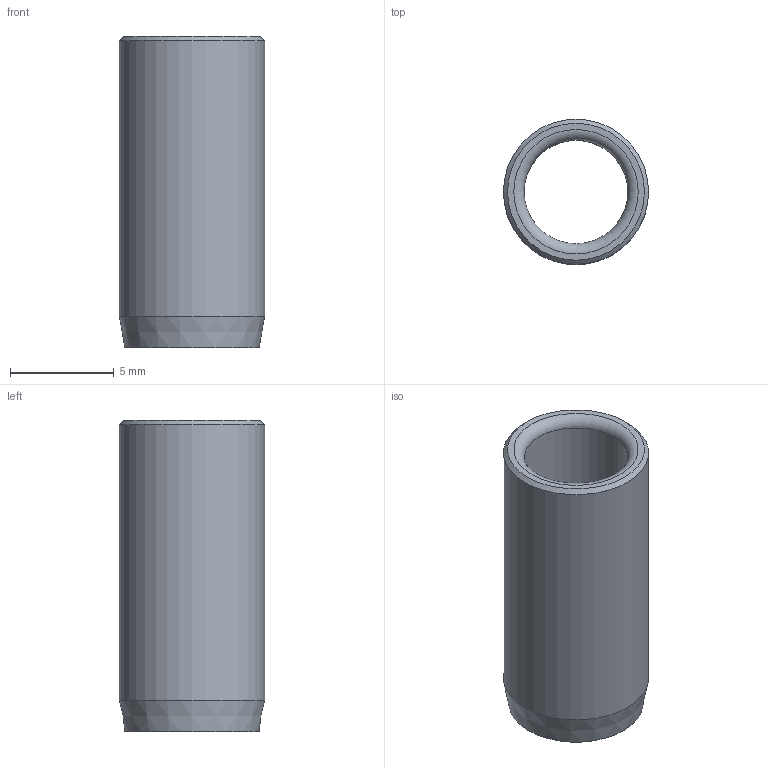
import cadquery as cq
import math

outer_diameter = 7.0
bore_diameter = 5.0
length = 15.0

entry_radius = 0.5
top_chamfer = 0.2

lead_in_height = 1.5
lead_in_angle = 10.0

outer_radius = outer_diameter / 2
bore_radius = bore_diameter / 2
lead_in_radius = outer_radius - lead_in_height * math.tan(math.radians(lead_in_angle))


def entry_arc_midpoint():
    """Point halfway along the quarter-round bore entry, in radius and height."""
    inset = entry_radius * (1 - math.sqrt(0.5))
    return (bore_radius + inset, length - inset)


def sleeve():
    """Wall section in the XZ plane, revolved about the Z axis."""
    section = (
        cq.Workplane("XZ")
        .moveTo(bore_radius, 0)
        .lineTo(lead_in_radius, 0)
        .lineTo(outer_radius, lead_in_height)
        .lineTo(outer_radius, length - top_chamfer)
        .lineTo(outer_radius - top_chamfer, length)
        .lineTo(bore_radius + entry_radius, length)
        .threePointArc(entry_arc_midpoint(), (bore_radius, length - entry_radius))
        .close()
    )
    return section.revolve(360, (0, 0, 0), (0, 1, 0))


result = sleeve()